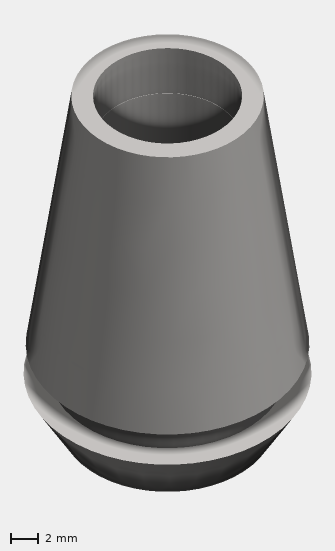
import cadquery as cq

height = 31.5
flange_top = 4.88
groove_top = 7.65

base_radius = 7.9
flange_radius = 10.65
groove_radius = 8.73
cone_bottom_radius = 10.5
cone_top_radius = 7.12

upper_bore_radius = 5.5
lower_bore_radius = 5.48
bore_step_level = 27.2


def make_body():
    """Turned collet: flared nose, extraction groove and long taper."""
    profile = [
        (0, 0),
        (base_radius, 0),
        (flange_radius, flange_top),
        (groove_radius, flange_top),
        (groove_radius, groove_top),
        (cone_bottom_radius, groove_top),
        (cone_top_radius, height),
        (0, height),
    ]
    return cq.Workplane("XZ").polyline(profile).close().revolve(360, (0, 0), (0, 1))


def make_bore():
    """Stepped through bore on the Z axis."""
    lower = cq.Workplane("XY").circle(lower_bore_radius).extrude(height)
    upper = (
        cq.Workplane("XY")
        .workplane(offset=bore_step_level)
        .circle(upper_bore_radius)
        .extrude(height - bore_step_level)
    )
    return lower.union(upper)


result = make_body().cut(make_bore())